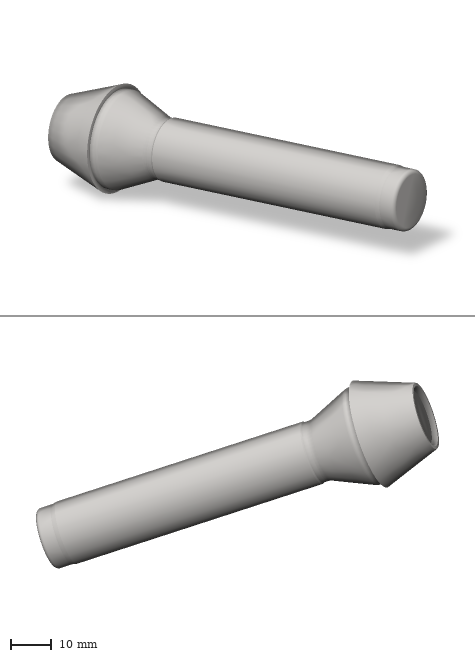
import cadquery as cq
import math

total_length = 100.0

ring_length = 14.7
ring_front_radius = 8.5
ring_back_radius = 13.7
mouth_radius = 15.5 / 2
spigot_radius = 6.8
mouth_depth = 1.2

collar_radius = 12.5
shank_radius = 8.0
neck_radius = 15.5 / 2
cone_start_x = 16.6
cone_end_x = 27.7
cone_start_rounding = 2.0
cone_end_rounding = 3.0
neck_end_x = 29.5
neck_taper_length = 0.4
shank_end_x = 94.6
tip_taper_length = 1.2
tip_rounding = 1.0


def revolve_about_x(profile):
    """Turn a closed (x, radius) profile into a solid around the X axis."""
    return profile.close().revolve(360, (0, 0, 0), (1, 0, 0))


def make_ring():
    profile = (
        cq.Workplane("XY")
        .moveTo(mouth_depth, spigot_radius)
        .lineTo(0, mouth_radius)
        .lineTo(0, ring_front_radius)
        .lineTo(ring_length, ring_back_radius)
        .lineTo(ring_length, spigot_radius)
    )
    return revolve_about_x(profile)


def make_stem():
    cone_angle = math.atan2(collar_radius - neck_radius, cone_end_x - cone_start_x)

    def along_cone(corner_x, corner_radius, distance):
        """Point on the cone at a signed distance from one of its corners."""
        return (
            corner_x + distance * math.cos(cone_angle),
            corner_radius - distance * math.sin(cone_angle),
        )

    start_setback = cone_start_rounding * math.tan(cone_angle / 2)
    end_setback = cone_end_rounding * math.tan(cone_angle / 2)

    profile = (
        cq.Workplane("XY")
        .moveTo(mouth_depth, 0)
        .lineTo(mouth_depth, spigot_radius)
        .lineTo(ring_length, spigot_radius)
        .lineTo(ring_length, collar_radius)
        .lineTo(cone_start_x - start_setback, collar_radius)
        .tangentArcPoint(along_cone(cone_start_x, collar_radius, start_setback), relative=False)
        .lineTo(*along_cone(cone_end_x, neck_radius, -end_setback))
        .tangentArcPoint((cone_end_x + end_setback, neck_radius), relative=False)
        .lineTo(neck_end_x, neck_radius)
        .lineTo(neck_end_x + neck_taper_length, shank_radius)
        .lineTo(shank_end_x, shank_radius)
        .lineTo(shank_end_x + tip_taper_length, neck_radius)
        .lineTo(total_length - tip_rounding, neck_radius)
        .tangentArcPoint((total_length, neck_radius - tip_rounding), relative=False)
        .lineTo(total_length, 0)
    )
    return revolve_about_x(profile)


ring = make_ring()
stem = make_stem()

result = cq.Compound.makeCompound([ring.val(), stem.val()])